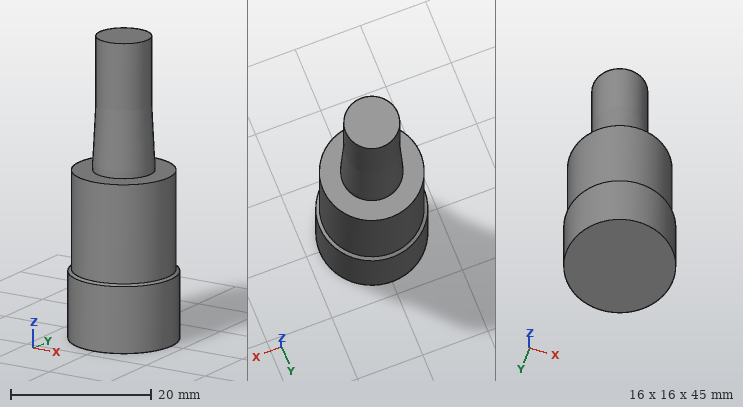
import cadquery as cq

total_height = 45.0
base_diameter = 16.0
base_height = 10.0
body_diameter = 15.0
body_top = 25.0
collar_diameter = 8.9
collar_height = 1.0
tip_diameter = 8.0
tip_length = 10.0
shoulder_height = 0.25

base_radius = base_diameter / 2
body_radius = body_diameter / 2
collar_radius = collar_diameter / 2
tip_radius = tip_diameter / 2
collar_top = body_top + collar_height
tip_bottom = total_height - tip_length

result = (
    cq.Workplane("XZ")
    .lineTo(base_radius, 0)
    .lineTo(base_radius, base_height)
    .lineTo(body_radius, base_height + shoulder_height)
    .lineTo(body_radius, body_top)
    .lineTo(collar_radius, body_top)
    .lineTo(collar_radius, collar_top)
    .lineTo(tip_radius, tip_bottom)
    .lineTo(tip_radius, total_height)
    .lineTo(0, total_height)
    .close()
    .revolve(360, (0, 0, 0), (0, 1, 0))
)